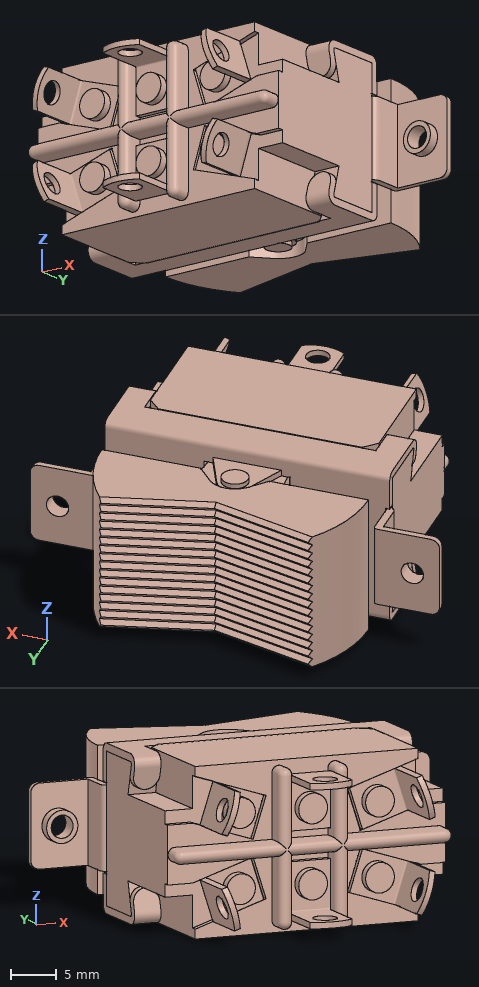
import cadquery as cq
import math

SIDES = (-1, 1)

overall_length = 47.5

sheet = 0.9
switch_half_length = 16.55
frame_half_width = 9.5
frame_top = 17.65
frame_inside_top = frame_top - sheet
core_half_width = frame_half_width - sheet

block_half_length = 13.25
block_half_width = 9.6
block_top = 13.45
block_corner_chamfer = 1.42

notch_floor = 4.8
crimp_bend_start = 10.2
crimp_inner_radius = 0.3
crimp_angle = 15.0
crimp_arc_angle = -45.0
crimp_tip = 5.45

rib_radius = 0.8
rib_height = 2.35
rib_spacing = 6.65
long_rib_half_length = 16.5
cross_rib_half_length = 9.0

window_half_length = 13.4

flange_sheet = 0.75
flange_top = 21.6
flange_half_width = 4.8
flange_corner_radius = 1.05
flange_bend_radius = 0.45
flange_foot_radius = 0.85
flange_leg_inside = 16.05
relief_width = 0.3
collar_position = 20.55
collar_radius = 1.85
collar_height = 1.3
collar_hole_radius = 1.3

pivot_height = 21.55
pivot_pin_radius = 1.5
pivot_pin_half_length = 8.05
ear_radius = 2.0
ear_foot_half_length = 4.35
ear_inside = 6.75
ear_sheet = 0.7

rocker_radius = 15.5
rocker_half_width = 8.3
rocker_peak = 31.35
rocker_valley = 28.15
tooth_count = 16
rocker_recess_radius = 3.0
rocker_recess_half_length = 4.0
stem_half_width = 6.6
stem_top_half_length = 5.0
stem_foot_half_length = 4.55

terminal_sheet = 0.7
terminal_bend_radius = 0.9
terminal_width = 5.0
terminal_back = 3.85
terminal_front = 2.5
terminal_length = 7.35
terminal_tip_rise = 0.7
terminal_hole_radius = 1.35
terminal_hole_to_tip = 2.35
rivet_radius = 1.7
rivet_height = 1.05
rivet_offset_x = 8.25
rivet_offset_z = 4.25
outer_terminal_angle = 18.0
pocket_end_gap = 0.3
pocket_low_edge = 3.32


def box(x_range, y_range, z_range):
    """Axis-aligned block between the given limits."""
    size = [high - low for low, high in (x_range, y_range, z_range)]
    corner = (x_range[0], y_range[0], z_range[0])
    return cq.Workplane("XY").box(*size, centered=False).translate(corner)


def mirrored(shape, plane):
    """The shape together with its mirror image."""
    return shape.union(shape.mirror(plane))


def cylinder_z(radius, half_length):
    """Cylinder along Z around the pivot axis."""
    circle = cq.Workplane("XY").workplane(offset=-half_length).center(0, pivot_height).circle(radius)
    return circle.extrude(2 * half_length)


def pivot_arch(radius, foot_half_length, foot_height):
    """Wire of an arch around the pivot whose straight sides run tangent to its feet."""
    rise = pivot_height - foot_height
    reach = math.hypot(foot_half_length, rise)
    tangent_angle = math.acos(radius / reach) - math.atan2(rise, foot_half_length)
    tangent_x = radius * math.cos(tangent_angle)
    tangent_y = pivot_height + radius * math.sin(tangent_angle)
    return (
        cq.Workplane("XY")
        .moveTo(-foot_half_length, foot_height)
        .lineTo(-tangent_x, tangent_y)
        .threePointArc((0, pivot_height + radius), (tangent_x, tangent_y))
        .lineTo(foot_half_length, foot_height)
        .close()
    )


def crimp_point(radius, angle):
    """(Y, Z) on an arc around the crimp bend; the angle is from -Y towards -Z."""
    turn = math.radians(angle)
    bend_centre_z = core_half_width - crimp_inner_radius
    return crimp_bend_start - radius * math.cos(turn), bend_centre_z - radius * math.sin(turn)


def crimp_slope_end():
    """Y where the inner face of a crimped leg would meet the notch floor."""
    foot_y, foot_z = crimp_point(crimp_inner_radius, crimp_angle)
    return foot_y + (foot_z - notch_floor) * math.tan(math.radians(crimp_angle))


def make_terminal():
    """L-shaped terminal: rivet at the origin, foot on Y = 0, leg on the -X side pointing to -Y."""
    half_width = terminal_width / 2
    strip = box(
        (-terminal_back, terminal_front),
        (-terminal_length, 0),
        (-half_width, half_width),
    )
    inside = box(
        (-terminal_back + terminal_sheet, terminal_front),
        (-terminal_length, -terminal_sheet),
        (-half_width, half_width),
    )
    bent = strip.cut(inside)
    bent = bent.edges("|Z and <X and >Y").fillet(terminal_bend_radius)
    inner_corner = cq.selectors.NearestToPointSelector((-terminal_back + terminal_sheet, -terminal_sheet, 0))
    bent = bent.edges(inner_corner).fillet(terminal_bend_radius - terminal_sheet)

    shoulder = -terminal_length + terminal_tip_rise
    leg_outline = (
        cq.Workplane("YZ")
        .workplane(offset=-terminal_back)
        .moveTo(0, half_width)
        .lineTo(shoulder, half_width)
        .threePointArc((-terminal_length, 0), (shoulder, -half_width))
        .lineTo(0, -half_width)
        .close()
        .extrude(terminal_back + terminal_front)
    )
    leg_hole = (
        cq.Workplane("YZ")
        .workplane(offset=-terminal_back)
        .center(-terminal_length + terminal_hole_to_tip, 0)
        .circle(terminal_hole_radius)
        .extrude(terminal_sheet)
    )
    rivet = cq.Workplane("XZ").circle(rivet_radius).extrude(terminal_sheet + rivet_height)
    return bent.intersect(leg_outline).cut(leg_hole).union(rivet)


def make_terminals():
    """Two middle terminals on the face and four angled ones sunk into the corner pockets."""
    terminals = []
    for side_z in SIDES:
        middle = make_terminal().rotate((0, 0, 0), (0, 1, 0), side_z * 90)
        terminals.append(middle.translate((0, 0, side_z * rivet_offset_z)))
        for side_x in SIDES:
            turn = side_z * outer_terminal_angle
            if side_x > 0:
                turn = 180 - turn
            outer = make_terminal().rotate((0, 0, 0), (0, 1, 0), turn)
            place = (side_x * rivet_offset_x, terminal_sheet, side_z * rivet_offset_z)
            terminals.append(outer.translate(place))
    return terminals


def make_corner_notch():
    """Notch at the +X +Z corner with the sloped end that the frame is crimped against."""
    notch = (
        cq.Workplane("YZ")
        .workplane(offset=block_half_length)
        .moveTo(0, notch_floor)
        .lineTo(crimp_slope_end(), notch_floor)
        .lineTo(*crimp_point(crimp_inner_radius, crimp_angle))
        .threePointArc(crimp_point(crimp_inner_radius, crimp_arc_angle), (crimp_bend_start, core_half_width))
        .lineTo(0, core_half_width)
        .close()
    )
    return notch.extrude(switch_half_length - block_half_length)


def make_terminal_pocket():
    """Shallow pocket for the +X +Z terminal, open towards the end and the corner notch."""
    slope = math.tan(math.radians(outer_terminal_angle))
    along = (math.cos(math.radians(outer_terminal_angle)), math.sin(math.radians(outer_terminal_angle)))
    across = (-along[1], along[0])
    inner_reach = terminal_front + pocket_end_gap
    inner_corners = []
    for side in SIDES:
        x = rivet_offset_x - inner_reach * along[0] + side * terminal_width / 2 * across[0]
        z = rivet_offset_z - inner_reach * along[1] + side * terminal_width / 2 * across[1]
        inner_corners.append((x, z))
    low_corner, high_corner = inner_corners
    low_edge_start = low_corner[0] + (pocket_low_edge - low_corner[1]) / slope
    high_end = high_corner[1] + (switch_half_length - high_corner[0]) * slope
    outline = [
        low_corner,
        (low_edge_start, pocket_low_edge),
        (switch_half_length, pocket_low_edge),
        (switch_half_length, high_end),
        high_corner,
    ]
    return cq.Workplane("XZ").polyline(outline).close().extrude(-terminal_sheet)


def make_rib(half_length):
    """Round-topped rib along X on the terminal face, with ball ends."""
    crest = rib_height - rib_radius
    web = cq.Workplane("XZ").slot2D(2 * half_length, 2 * rib_radius).extrude(crest)
    axis_half_length = half_length - rib_radius
    rod = cq.Workplane("YZ").workplane(offset=-axis_half_length).center(-crest, 0).circle(rib_radius)
    rib = web.union(rod.extrude(2 * axis_half_length))
    for side in SIDES:
        rib = rib.union(cq.Workplane("XY").sphere(rib_radius).translate((side * axis_half_length, -crest, 0)))
    return rib


def make_housing():
    core = box(
        (-switch_half_length, switch_half_length),
        (0, frame_inside_top),
        (-core_half_width, core_half_width),
    )
    notches = mirrored(mirrored(make_corner_notch(), "YZ"), "XY")
    block = box(
        (-block_half_length, block_half_length),
        (0, block_top),
        (-block_half_width, block_half_width),
    )
    block = block.edges("|Z and >Y").chamfer(block_corner_chamfer)
    pockets = mirrored(mirrored(make_terminal_pocket(), "YZ"), "XY")
    housing = core.cut(notches).union(block).cut(pockets)

    ribs = make_rib(long_rib_half_length)
    for side in SIDES:
        cross_rib = make_rib(cross_rib_half_length).rotate((0, 0, 0), (0, 1, 0), 90)
        ribs = ribs.union(cross_rib.translate((side * rib_spacing / 2, 0, 0)))
    return housing.union(ribs)


def make_channel():
    """Top sheet of the frame with the two skirts, down to the side windows."""
    outside = box(
        (-switch_half_length, switch_half_length),
        (block_top, frame_top),
        (-frame_half_width, frame_half_width),
    )
    outside = outside.edges("|X and >Y").fillet(sheet)
    inside = box(
        (-switch_half_length, switch_half_length),
        (block_top, frame_inside_top),
        (-core_half_width, core_half_width),
    )
    opening = box(
        (-stem_top_half_length, stem_top_half_length),
        (frame_inside_top, frame_top),
        (-ear_inside, ear_inside),
    )
    return outside.cut(inside).cut(opening)


def make_crimped_leg():
    """Leg of the +X +Z corner, bent inwards along the housing notch and rounded at its tip."""
    outer_radius = crimp_inner_radius + sheet
    outer_foot_y, outer_foot_z = crimp_point(outer_radius, crimp_angle)
    run = (outer_foot_z - notch_floor) * math.tan(math.radians(crimp_angle))
    leg = (
        cq.Workplane("YZ")
        .workplane(offset=window_half_length)
        .moveTo(block_top, core_half_width)
        .lineTo(block_top, frame_half_width)
        .lineTo(crimp_bend_start, frame_half_width)
        .threePointArc(crimp_point(outer_radius, crimp_arc_angle), (outer_foot_y, outer_foot_z))
        .lineTo(outer_foot_y + run, notch_floor)
        .lineTo(crimp_slope_end(), notch_floor)
        .lineTo(*crimp_point(crimp_inner_radius, crimp_angle))
        .threePointArc(crimp_point(crimp_inner_radius, crimp_arc_angle), (crimp_bend_start, core_half_width))
        .close()
        .extrude(switch_half_length - window_half_length)
    )
    tip_radius = (switch_half_length - window_half_length) / 2
    outline = (
        cq.Workplane("XZ")
        .moveTo(window_half_length, frame_half_width)
        .lineTo(window_half_length, crimp_tip + tip_radius)
        .threePointArc(
            (window_half_length + tip_radius, crimp_tip),
            (switch_half_length, crimp_tip + tip_radius),
        )
        .lineTo(switch_half_length, frame_half_width)
        .close()
        .extrude(-block_top)
    )
    return leg.intersect(outline)


def make_mounting_flange():
    """Flange of the +X end: a leg bent up from the top sheet and a plate with a collared hole."""
    leg_outside = flange_leg_inside + sheet
    flange_end = overall_length / 2
    plate_bottom = flange_top - flange_sheet
    width = (-flange_half_width, flange_half_width)

    leg = box((flange_leg_inside, leg_outside), (frame_inside_top, flange_top), width)
    leg = leg.edges("|Z and >X and <Y").fillet(flange_foot_radius)
    plate = box((flange_leg_inside, flange_end), (plate_bottom, flange_top), width)
    plate = plate.edges("|Y and >X").fillet(flange_corner_radius)
    flange = leg.union(plate).edges("|Z and <X and >Y").fillet(flange_bend_radius)

    collar = cq.Workplane("XZ", origin=(collar_position, flange_top, 0)).circle(collar_radius)
    hole = cq.Workplane("XZ", origin=(collar_position, flange_top, 0)).circle(collar_hole_radius)
    collar_length = flange_sheet + collar_height
    return flange.union(collar.extrude(collar_length)).cut(hole.extrude(collar_length))


def make_flange_root():
    """Strip of the +X end of the top sheet that gives way to the bend and its two reliefs."""
    half_width = flange_half_width + relief_width
    return box(
        (flange_leg_inside, switch_half_length),
        (frame_inside_top, frame_top),
        (-half_width, half_width),
    )


def make_frame():
    legs = mirrored(mirrored(make_crimped_leg(), "YZ"), "XY")
    roots = mirrored(make_flange_root(), "YZ")
    flanges = make_mounting_flange()
    ear = pivot_arch(ear_radius, ear_foot_half_length, frame_inside_top).extrude(ear_sheet)
    ears = mirrored(ear.translate((0, 0, ear_inside)), "XY")
    frame = make_channel().cut(roots).union(legs).union(ears)
    return frame.union(flanges).union(flanges.mirror("YZ"))


def make_rocker_half():
    """The +X half of the rocker, with teeth that run down the sloping finger face."""
    peak_x = math.sqrt(rocker_radius**2 - (rocker_peak - pivot_height) ** 2)
    mid_angle = math.asin((rocker_peak - pivot_height) / rocker_radius) / 2
    mid_arc = (
        rocker_radius * math.cos(mid_angle),
        pivot_height + rocker_radius * math.sin(mid_angle),
    )
    fan = (
        cq.Workplane("XY")
        .workplane(offset=-rocker_half_width)
        .moveTo(0, pivot_height)
        .lineTo(rocker_radius, pivot_height)
        .threePointArc(mid_arc, (peak_x, rocker_peak))
        .lineTo(0, rocker_valley)
        .close()
        .extrude(2 * rocker_half_width)
    )

    pitch = 2 * rocker_half_width / tooth_count
    root = rocker_valley - pitch / 2
    below = rocker_valley - rocker_peak
    toothed = [cq.Vector(0, below, -rocker_half_width)]
    for index in range(tooth_count):
        start = -rocker_half_width + index * pitch
        toothed.append(cq.Vector(0, root, start))
        toothed.append(cq.Vector(0, rocker_valley, start + pitch / 2))
    toothed.append(cq.Vector(0, root, rocker_half_width))
    toothed.append(cq.Vector(0, below, rocker_half_width))
    rise = (rocker_peak - rocker_valley) * rocker_radius / peak_x
    direction = cq.Vector(rocker_radius, rise, 0)
    teeth = cq.Solid.extrudeLinear(cq.Wire.makePolygon(toothed, close=True), [], direction)
    return fan.intersect(cq.Workplane(teeth))


def make_rocker():
    rocker = mirrored(make_rocker_half(), "YZ")
    recess = pivot_arch(rocker_recess_radius, rocker_recess_half_length, pivot_height)
    recess = recess.extrude(rocker_half_width - stem_half_width)
    recesses = mirrored(recess.translate((0, 0, stem_half_width)), "XY")
    stem_outline = [
        (-stem_top_half_length, pivot_height),
        (-stem_foot_half_length, frame_inside_top),
        (stem_foot_half_length, frame_inside_top),
        (stem_top_half_length, pivot_height),
    ]
    stem = cq.Workplane("XY").workplane(offset=-stem_half_width).polyline(stem_outline).close()
    return rocker.cut(recesses).union(stem.extrude(2 * stem_half_width))


def make_rocker_frame():
    """Frame and rocker made one by the pivot pin that runs through both ears and the rocker."""
    pin = cylinder_z(pivot_pin_radius, pivot_pin_half_length)
    return make_frame().union(pin).union(make_rocker())


housing = make_housing()
rocker_frame = make_rocker_frame()
terminals = make_terminals()

result = cq.Compound.makeCompound(
    [housing.val(), rocker_frame.val(), *[terminal.val() for terminal in terminals]]
)